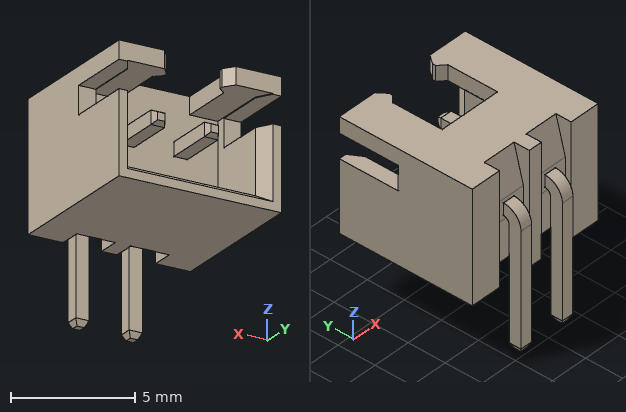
import cadquery as cq
import math

housing_width = 7.6
housing_depth = 7.19
housing_height = 5.93

wall = 0.81
cavity_depth = 3.66
mouth_flare = 0.41
mouth_flare_depth = 0.69

latch_width = 3.33
lip_reach = 0.36
lip_front = 0.48
lip_back = 0.645
lip_root = 0.97

side_slot_depth = 3.19
side_slot_height = 1.28
side_slot_top = housing_height - 0.85

rib_width = 0.73
recess_width = 1.795
recess_depth_top = 0.82
recess_depth_middle = 0.32
recess_depth_bottom = 1.09
recess_upper_z = housing_height - 1.94
recess_lower_z = housing_height - 2.98

pin_pitch = 2.5
pin_size = 0.64
pin_overhang = 7.82 - housing_depth
pin_bottom_z = housing_height - 9.35
pin_end_y = housing_depth - 0.97
pin_top_z = housing_height - 2.14
bend_inner_radius = pin_size / 2
bend_outer_radius = bend_inner_radius + pin_size
tip_length = 0.28
tip_width = 0.355

pin_positions = [-pin_pitch / 2, pin_pitch / 2]


def box(x_min, x_max, y_min, y_max, z_min, z_max):
    """Axis-aligned block between the given limits."""
    size = (x_max - x_min, y_max - y_min, z_max - z_min)
    return cq.Workplane("XY").box(*size, centered=False).translate((x_min, y_min, z_min))


def make_cavity():
    """Mating cavity with a mouth that flares out at the floor and both sides."""
    width = housing_width - 2 * wall
    height = housing_height - 2 * wall
    middle_z = housing_height / 2
    flared_middle_z = middle_z - mouth_flare / 2
    cavity = box(-width / 2, width / 2, housing_depth - cavity_depth, housing_depth,
                 wall, housing_height - wall)
    mouth = (
        cq.Workplane("XZ", origin=(0, housing_depth, flared_middle_z))
        .rect(width + 2 * mouth_flare, height + mouth_flare)
        .workplane(offset=mouth_flare_depth)
        .center(0, mouth_flare / 2)
        .rect(width, height)
        .loft(ruled=True)
    )
    return cavity.union(mouth)


def make_latch_opening():
    """Roof opening narrowed near the mouth by a pointed lip on each side."""
    half = latch_width / 2
    neck = half - lip_reach
    right_side = [
        (half, housing_depth - cavity_depth),
        (half, housing_depth - lip_root),
        (neck, housing_depth - lip_back),
        (neck, housing_depth - lip_front),
        (half, housing_depth),
    ]
    left_side = [(-x, y) for x, y in reversed(right_side)]
    return (
        cq.Workplane("XY", origin=(0, 0, housing_height / 2))
        .polyline(right_side + left_side)
        .close()
        .extrude(housing_height / 2)
    )


def make_side_slots():
    """One cutter that opens both side walls from the mouth."""
    return box(-housing_width / 2, housing_width / 2, housing_depth - side_slot_depth, housing_depth,
               side_slot_top - side_slot_height, side_slot_top)


def make_recess(x_min):
    """Recess whose back wall slopes inward above and below a flat band."""
    profile = [
        (0, 0),
        (recess_depth_bottom, 0),
        (recess_depth_middle, recess_lower_z),
        (recess_depth_middle, recess_upper_z),
        (recess_depth_top, housing_height),
        (0, housing_height),
    ]
    return cq.Workplane("YZ", origin=(x_min, 0, 0)).polyline(profile).close().extrude(recess_width)


def make_pin_hole(x):
    """Square passage from the recess into the cavity."""
    return box(x - pin_size / 2, x + pin_size / 2, 0, housing_depth - cavity_depth,
               pin_top_z - pin_size, pin_top_z)


def make_housing():
    body = box(-housing_width / 2, housing_width / 2, 0, housing_depth, 0, housing_height)
    body = body.cut(make_cavity()).cut(make_latch_opening()).cut(make_side_slots())
    for x_min in (-rib_width / 2 - recess_width, rib_width / 2):
        body = body.cut(make_recess(x_min))
    for x in pin_positions:
        body = body.cut(make_pin_hole(x))
    return body


def make_tip(plane):
    """Tapered square point starting on the given plane."""
    return (
        cq.Workplane(plane)
        .rect(pin_size, pin_size)
        .workplane(offset=tip_length)
        .rect(tip_width, tip_width)
        .loft(ruled=True)
    )


def make_pin(x):
    """Right-angle square pin with a tapered point at each end."""
    outer_y = -pin_overhang
    inner_y = outer_y + pin_size
    bend_y = outer_y + bend_outer_radius
    bend_z = pin_top_z - bend_outer_radius
    leg_end_z = pin_bottom_z + tip_length
    arm_end_y = pin_end_y - tip_length
    diagonal = math.sqrt(0.5)
    outer_mid = (bend_y - diagonal * bend_outer_radius, bend_z + diagonal * bend_outer_radius)
    inner_mid = (bend_y - diagonal * bend_inner_radius, bend_z + diagonal * bend_inner_radius)
    shank = (
        cq.Workplane("YZ", origin=(x - pin_size / 2, 0, 0))
        .moveTo(outer_y, leg_end_z)
        .lineTo(outer_y, bend_z)
        .threePointArc(outer_mid, (bend_y, pin_top_z))
        .lineTo(arm_end_y, pin_top_z)
        .lineTo(arm_end_y, pin_top_z - pin_size)
        .lineTo(bend_y, pin_top_z - pin_size)
        .threePointArc(inner_mid, (inner_y, bend_z))
        .lineTo(inner_y, leg_end_z)
        .close()
        .extrude(pin_size)
    )
    leg_center = (x, (outer_y + inner_y) / 2, leg_end_z)
    arm_center = (x, arm_end_y, pin_top_z - pin_size / 2)
    leg_tip = make_tip(cq.Plane(leg_center, xDir=(1, 0, 0), normal=(0, 0, -1)))
    arm_tip = make_tip(cq.Plane(arm_center, xDir=(1, 0, 0), normal=(0, 1, 0)))
    return shank.union(leg_tip).union(arm_tip)


housing = make_housing()
pins = [make_pin(x) for x in pin_positions]

result = cq.Compound.makeCompound([housing.val(), *[pin.val() for pin in pins]])